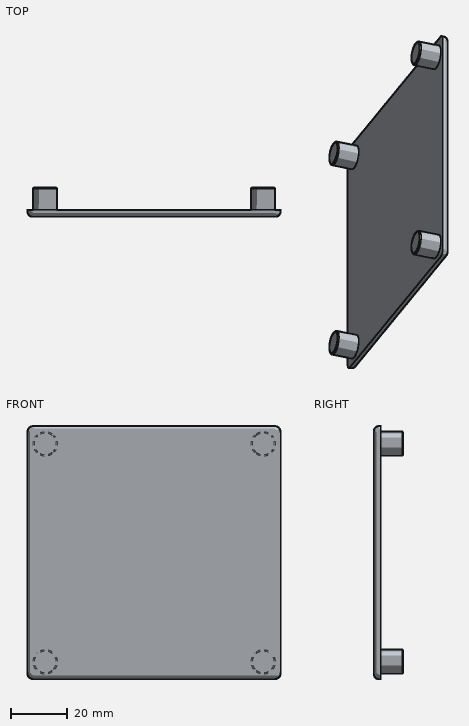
import cadquery as cq

plate_side = 90.0
plate_thickness = 2.5
corner_radius = 2.25
front_edge_radius = 2.0

total_depth = 10.5
peg_diameter = 8.6
peg_spacing = 77.4
peg_tip_chamfer = 0.45
peg_length = total_depth - plate_thickness


def make_plate():
    """Plate with rounded corners and a rounded front rim."""
    plate = cq.Workplane("XY").box(plate_side, plate_thickness, plate_side)
    plate = plate.translate((0, plate_thickness / 2, 0))
    plate = plate.edges("|Y").fillet(corner_radius)
    return plate.faces("<Y").edges().fillet(front_edge_radius)


def make_pegs():
    """Four pegs rising from the back face, chamfered at their tips."""
    back_plane = cq.Workplane("XZ", origin=(0, plate_thickness, 0))
    pegs = back_plane.rect(peg_spacing, peg_spacing, forConstruction=True).vertices()
    pegs = pegs.circle(peg_diameter / 2).extrude(-peg_length)
    return pegs.faces(">Y").edges().chamfer(peg_tip_chamfer)


result = make_plate().union(make_pegs())